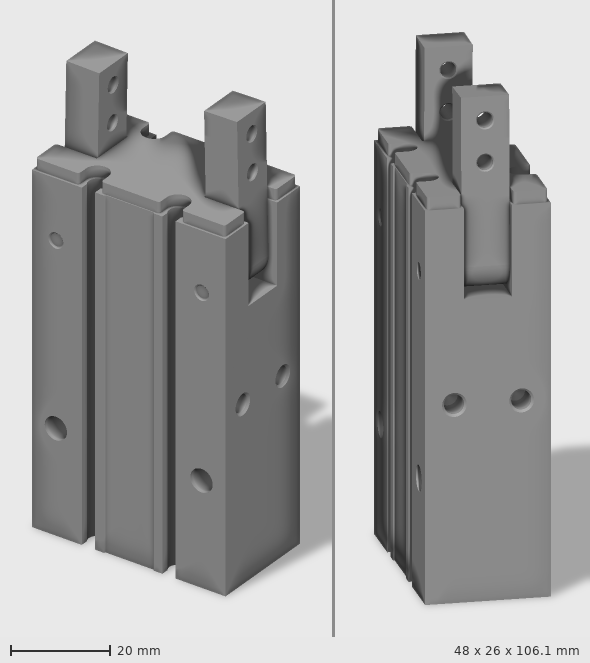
import cadquery as cq
import math

TOTAL_HEIGHT = 106.1
BODY_LENGTH = 48.0
BODY_WIDTH = 26.0
BODY_HEIGHT = 83.5

CAP_THICKNESS = 2.7
CAP_END_INSET = 0.5
CAP_SIDE_INSET = 0.5
CAP_CORNER_RADIUS = 0.6
CAP_NOTCH_WIDTH = 10.8
CAP_NOTCH_INNER_X = 13.3

CHANNEL_X = 10.0
CHANNEL_MOUTH = 3.3
CHANNEL_BORE = 4.1
CHANNEL_BORE_DEPTH = 3.1
CAP_CHANNEL_WIDTH = 5.5

GROOVE_WIDTH = 12.3
GROOVE_DEPTH = 0.3

SLOT_WIDTH = 10.0
SLOT_FLOOR_Z = 64.1

PIVOT_X = 18.0
PIVOT_Z = 69.0
PIVOT_DIMPLE_OUTER = 3.7
PIVOT_DIMPLE_INNER = 3.0
MOUNT_HOLE_DIAMETER = 5.5
MOUNT_HOLE_Z = 25.0

END_HOLE_DIAMETER = 4.1
END_HOLE_MOUTH = 5.1
END_HOLE_DEPTH = 6.4
END_HOLE_SPACING = 13.9
END_HOLE_Z = 42.0
DRILL_POINT_ANGLE = 118.0

JAW_TILT = 1.1
JAW_THICKNESS = 8.2
JAW_OUTER_OFFSET = 3.8
JAW_BELOW_PIVOT = 4.1
JAW_TOE_RADIUS = 5.4
JAW_HOLE_DIAMETER = 3.3
JAW_HOLE_MOUTH = 3.8
JAW_HOLE_DROPS = (5.1, 14.0)

END_X = BODY_LENGTH / 2
SIDE_Y = BODY_WIDTH / 2


def cone(mouth, tip, depth, origin, direction):
    """Tapered cutter whose wide end lies at origin."""
    start = cq.Vector(*origin)
    return cq.Workplane(cq.Solid.makeCone(mouth / 2, tip / 2, depth, start, cq.Vector(*direction)))


def rod(diameter, length, origin, direction):
    """Round cutter running from origin along direction."""
    start = cq.Vector(*origin)
    return cq.Workplane(cq.Solid.makeCylinder(diameter / 2, length, start, cq.Vector(*direction)))


def channel_cutter(mouth, bore, bottom_z, height):
    """Channel at X = 0 that opens on the -Y side and ends in a round bore."""
    bore_y = CHANNEL_BORE_DEPTH - SIDE_Y
    plane = cq.Workplane("XY").workplane(offset=bottom_z)
    neck = plane.center(0, bore_y - CHANNEL_BORE_DEPTH / 2).rect(mouth, CHANNEL_BORE_DEPTH).extrude(height)
    return neck.union(plane.center(0, bore_y).circle(bore / 2).extrude(height))


def cut_channels(solid, cutter):
    for x in (-CHANNEL_X, CHANNEL_X):
        front = cutter.translate((x, 0, 0))
        solid = solid.cut(front).cut(front.mirror("XZ"))
    return solid


def make_profile():
    """Extruded lower part with its channels and side grooves."""
    profile = cq.Workplane("XY").box(BODY_LENGTH, BODY_WIDTH, BODY_HEIGHT, centered=(True, True, False))
    floor_half = GROOVE_WIDTH / 2 - GROOVE_DEPTH
    groove = (
        cq.Workplane("XY")
        .moveTo(-GROOVE_WIDTH / 2, -SIDE_Y)
        .lineTo(-floor_half, GROOVE_DEPTH - SIDE_Y)
        .lineTo(floor_half, GROOVE_DEPTH - SIDE_Y)
        .lineTo(GROOVE_WIDTH / 2, -SIDE_Y)
        .close()
        .extrude(BODY_HEIGHT)
    )
    profile = profile.cut(groove).cut(groove.mirror("XZ"))
    return cut_channels(profile, channel_cutter(CHANNEL_MOUTH, CHANNEL_BORE, 0, BODY_HEIGHT))


def make_cap():
    """Plate with rounded corners, notched for the jaws and relieved around the channels."""
    length = BODY_LENGTH - 2 * CAP_END_INSET
    width = BODY_WIDTH - 2 * CAP_SIDE_INSET
    plane = cq.Workplane("XY").workplane(offset=BODY_HEIGHT)
    cap = plane.rect(length, width).extrude(CAP_THICKNESS)
    notch_length = END_X - CAP_NOTCH_INNER_X
    notch_x = CAP_NOTCH_INNER_X + notch_length / 2
    notches = plane.pushPoints([(-notch_x, 0), (notch_x, 0)]).rect(notch_length, CAP_NOTCH_WIDTH)
    cap = cap.cut(notches.extrude(CAP_THICKNESS))
    relief = channel_cutter(CAP_CHANNEL_WIDTH, CAP_CHANNEL_WIDTH, BODY_HEIGHT, CAP_THICKNESS)
    cap = cut_channels(cap, relief)
    end_corners = cap.faces("<X or >X").edges("|Z")
    side_corners = cap.faces("<Y or >Y").edges("|Z")
    return cap.newObject(list(set(end_corners.vals() + side_corners.vals()))).fillet(CAP_CORNER_RADIUS)


def cut_slot(housing):
    slot = cq.Workplane("XY").workplane(offset=SLOT_FLOOR_Z).rect(BODY_LENGTH, SLOT_WIDTH)
    return housing.cut(slot.extrude(BODY_HEIGHT - SLOT_FLOOR_Z))


def cut_side_holes(housing):
    """Through mounting holes and shallow chamfered dimples on the jaw pivot axes."""
    dimple_depth = (PIVOT_DIMPLE_OUTER - PIVOT_DIMPLE_INNER) / 2
    for x in (-PIVOT_X, PIVOT_X):
        housing = housing.cut(rod(MOUNT_HOLE_DIAMETER, BODY_WIDTH, (x, -SIDE_Y, MOUNT_HOLE_Z), (0, 1, 0)))
        for side in (-1, 1):
            mouth = (x, side * SIDE_Y, PIVOT_Z)
            inward = (0, -side, 0)
            housing = housing.cut(cone(PIVOT_DIMPLE_OUTER, PIVOT_DIMPLE_INNER, dimple_depth, mouth, inward))
    return housing


def cut_end_holes(housing):
    """Chamfered blind holes with drill points in both end faces."""
    chamfer = (END_HOLE_MOUTH - END_HOLE_DIAMETER) / 2
    point_depth = END_HOLE_DIAMETER / 2 / math.tan(math.radians(DRILL_POINT_ANGLE / 2))
    for side in (-1, 1):
        inward = (-side, 0, 0)
        for y in (-END_HOLE_SPACING / 2, END_HOLE_SPACING / 2):
            mouth = (side * END_X, y, END_HOLE_Z)
            bottom = (side * (END_X - END_HOLE_DEPTH), y, END_HOLE_Z)
            housing = housing.cut(rod(END_HOLE_DIAMETER, END_HOLE_DEPTH, mouth, inward))
            housing = housing.cut(cone(END_HOLE_MOUTH, END_HOLE_DIAMETER, chamfer, mouth, inward))
            housing = housing.cut(cone(END_HOLE_DIAMETER, 0, point_depth, bottom, inward))
    return housing


def make_housing():
    housing = cut_slot(make_profile()).union(make_cap())
    return cut_end_holes(cut_side_holes(housing))


def make_left_jaw():
    """Jaw drawn upright about its pivot, then tilted inward and moved into place."""
    tilt = math.radians(JAW_TILT)
    rise = (TOTAL_HEIGHT - PIVOT_Z - JAW_OUTER_OFFSET * math.sin(tilt)) / math.cos(tilt)
    height = rise + JAW_BELOW_PIVOT
    outer_x = -JAW_OUTER_OFFSET
    inner_x = JAW_THICKNESS - JAW_OUTER_OFFSET
    jaw = (
        cq.Workplane("XY")
        .box(JAW_THICKNESS, SLOT_WIDTH, height, centered=(False, True, False))
        .translate((outer_x, 0, -JAW_BELOW_PIVOT))
    )
    jaw = jaw.faces("<X").edges("<Z").fillet(JAW_TOE_RADIUS)
    chamfer = (JAW_HOLE_MOUTH - JAW_HOLE_DIAMETER) / 2
    for drop in JAW_HOLE_DROPS:
        z = rise - drop
        jaw = jaw.cut(rod(JAW_HOLE_DIAMETER, JAW_THICKNESS, (outer_x, 0, z), (1, 0, 0)))
        jaw = jaw.cut(cone(JAW_HOLE_MOUTH, JAW_HOLE_DIAMETER, chamfer, (outer_x, 0, z), (1, 0, 0)))
        jaw = jaw.cut(cone(JAW_HOLE_MOUTH, JAW_HOLE_DIAMETER, chamfer, (inner_x, 0, z), (-1, 0, 0)))
    return jaw.rotate((0, 0, 0), (0, 1, 0), JAW_TILT).translate((-PIVOT_X, 0, PIVOT_Z))


def make_jaw(turn):
    """Jaw turned by an angle about the vertical centre axis of the housing."""
    return make_left_jaw().rotate((0, 0, 0), (0, 0, 1), turn)


housing = make_housing()
jaws = [make_jaw(turn) for turn in (0, 180)]

result = cq.Compound.makeCompound([housing.val(), *[jaw.val() for jaw in jaws]])